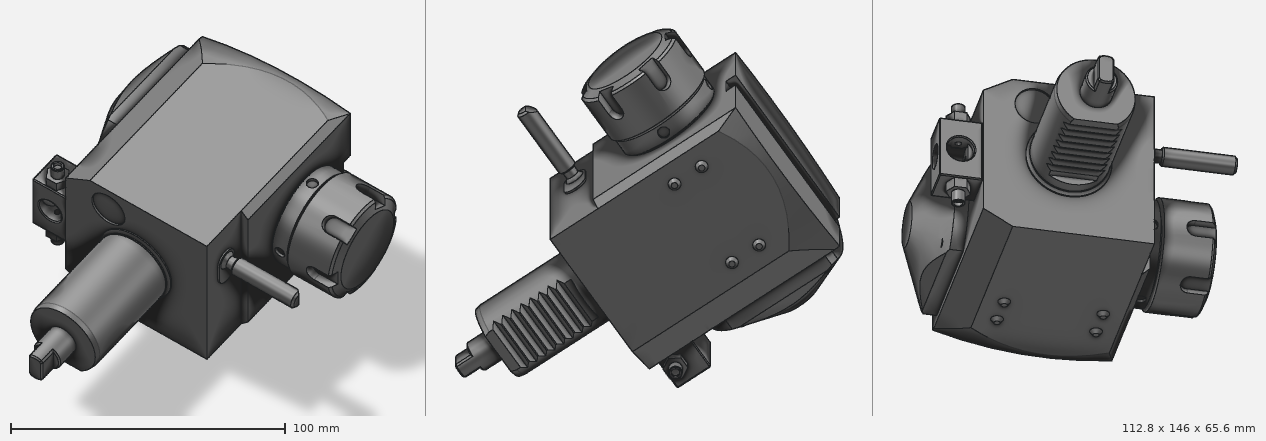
import cadquery as cq
import math


BODY_HALF = 32.0
BODY_LEFT = -31.8
BODY_LENGTH = 84.0
SIDE_CHAMFER_X = 11.0
SIDE_CHAMFER_Z = 6.3
PAD_THICKNESS = 3.0
PAD_START_Y = 21.0
BACK_CONE_RADIUS = 146.0
BACK_CONE_ANGLE = 15.0
BACK_CONE_X = 9.5
BACK_CONE_DROP = 0.9
KEYWAY_WIDTH = 10.2
KEYWAY_DEPTH = 4.2

CHUCK_Y = 55.0

COVER_RADIUS = BODY_HALF
COVER_TOP_RADIUS = 8.5
COVER_RIM = 5.1
COVER_HEIGHT = 16.0
COVER_HALF_Z = 23.2
COVER_BACK_Y = 79.5
COVER_BEVEL_START = 5.8
COVER_BEVEL_ANGLE = 30.0
COVER_SCREW_RADIUS = 2.6
COVER_SCREW_OFFSET_Y = 17.7
COVER_SCREW_OFFSET_Z = 17.5
COVER_SCREW_HEIGHT = 7.5

FLANGE_RADIUS = 16.0
FLANGE_THICKNESS = 0.6
FLANGE_CONE_END = 1.2
UNDERCUT_RADIUS = 14.7
UNDERCUT_END = 1.9
SHANK_RADIUS = 15.0
SHANK_LENGTH = 45.0
SHANK_BEVEL_LENGTH = 2.2
SHANK_BEVEL_DEPTH = 0.5
SHANK_FLAT_Z = -12.1
SHANK_FLAT_START_Y = -6.7
TOOTH_COUNT = 8
TOOTH_SPAN = 28.0
TOOTH_PITCH = TOOTH_SPAN / (TOOTH_COUNT - 1)
TOOTH_DEPTH = 1.8
FIRST_TOOTH_Y = -11.4
DRIVE_RADIUS = 6.0
DRIVE_END_Y = -62.0
TANG_START_Y = -55.0
TANG_HALF_WIDTH = 3.0
DRIVE_CHAMFER = 0.6
TANG_EDGE_CHAMFER = 0.7

PLUG_X = -12.5
PLUG_Z = 21.6
PLUG_RADIUS = 7.5
PLUG_DEPTH = 0.9

RING_NECK_RADIUS = 19.3
RING_START_X = 35.8
RING_END_X = 42.3
RING_RADIUS = 20.0
RING_HOLE_RADIUS = 2.2
RING_HOLE_X = 39.1
RING_HOLE_DEPTH = 1.3
RING_HOLE_COUNT = 4
NUT_NECK_RADIUS = 16.4
NUT_START_X = 43.5
NUT_RADIUS = 21.0
NUT_BEVEL_X = 61.6
NUT_NOSE_X = 62.5
NUT_NOSE_RADIUS = 20.0
NUT_END_X = 64.0
NUT_FACE_RADIUS = 16.2
NUT_SLOT_WIDTH = 6.7
NUT_SLOT_FLOOR = 17.4
NUT_SLOT_START_X = 51.8
NUT_SLOT_COUNT = 6

LEVER_Y = 11.2
LEVER_Z = 13.9
LEVER_FOOT_RADIUS = 4.0
LEVER_FOOT_X = 32.4
LEVER_NECK_RADIUS = 2.5
LEVER_NECK_X = 34.2
LEVER_START_X = 37.0
LEVER_START_CHAMFER = 0.6
LEVER_TIP_CHAMFER = 0.9
LEVER_RADIUS = 3.5
LEVER_END_X = 65.0
LEVER_TIP_CUT = 3.0
LEVER_PLATE_WIDTH = 9.3
LEVER_PLATE_SPACING = 6.7
LEVER_PLATE_THICKNESS = 0.7

BLOCK_LENGTH = 16.0
BLOCK_WIDTH = 14.9
BLOCK_FRONT_Y = 1.3
BLOCK_HALF_Z = 12.4
BLOCK_EDGE = 0.5
BLOCK_PORT_X = -39.9
FRONT_PORT_RADIUS = 5.1
FRONT_PORT_SHELF = 2.5
PORT_MOUTH_CHAMFER = 0.5
SIDE_PORT_Y = 8.6
SIDE_PORT_RADIUS = 4.7
SIDE_PORT_DEPTH = 11.2
PORT_PASSAGE_RADIUS = 1.3
VALVE_Y = 6.0
VALVE_HEX_FLATS = 7.9
VALVE_HEX_HEIGHT = 4.0
VALVE_STEM_RADIUS = 2.5
VALVE_STEM_HEIGHT = 4.7
VALVE_TIP_CHAMFER = 0.3
VALVE_BORE_RADIUS = 1.6
VALVE_BORE_DEPTH = 1.5
VALVE_PASSAGE_RADIUS = 1.2

STUD_XS = (-12.8, 24.1)
STUD_YS = (49.5, 61.5)
STUD_BASE_RADIUS = 2.3
STUD_TOP_RADIUS = 1.2
STUD_HEIGHT = 1.6

OVERLAP = 0.7


def turned_x(profile, y, z):
    """Solid of revolution about a line along X, from (x, radius) points."""
    points = [(profile[0][0], 0)] + profile + [(profile[-1][0], 0)]
    turned = cq.Workplane("XY").polyline(points).close().revolve(360, (0, 0, 0), (1, 0, 0))
    return turned.translate((0, y, z))


def turned_y(profile, x=0.0, z=0.0):
    """Solid of revolution about a line along Y, from (y, radius) points."""
    points = [(0, profile[0][0])] + [(r, y) for y, r in profile] + [(0, profile[-1][0])]
    turned = cq.Workplane("XY").polyline(points).close().revolve(360, (0, 0, 0), (0, 1, 0))
    return turned.translate((x, 0, z))


def box(x0, x1, y0, y1, z0, z1):
    """Box between two opposite corners."""
    return cq.Workplane("XY").box(x1 - x0, y1 - y0, z1 - z0, centered=False).translate((x0, y0, z0))


def along_y(points, y0, y1):
    """Prism of an (x, z) outline between two Y positions."""
    return cq.Workplane("XZ", origin=(0, y0, 0)).polyline(points).close().extrude(y0 - y1)


def mirrored_z(solid):
    return solid.mirror("XY")


def back_cone():
    """Large cone whose top bounds the sloped rear of the body."""
    growth = BODY_LENGTH * math.tan(math.radians(BACK_CONE_ANGLE))
    axis_z = BODY_HALF - BACK_CONE_DROP - BACK_CONE_RADIUS
    profile = [(0, BACK_CONE_RADIUS + growth), (BODY_LENGTH, BACK_CONE_RADIUS)]
    return turned_y(profile, BACK_CONE_X, axis_z)


def make_body():
    side_z = BODY_HALF - SIDE_CHAMFER_Z
    slope_x = SIDE_CHAMFER_X + BODY_LEFT
    outline = [
        (BODY_LEFT, -side_z),
        (slope_x, -BODY_HALF),
        (BODY_HALF, -BODY_HALF),
        (BODY_HALF, BODY_HALF),
        (slope_x, BODY_HALF),
        (BODY_LEFT, side_z),
    ]
    pad_x = BODY_HALF + PAD_THICKNESS
    pad_z = BODY_HALF - PAD_THICKNESS
    pad_outline = [
        (0, -BODY_HALF),
        (BODY_HALF, -BODY_HALF),
        (pad_x, -pad_z),
        (pad_x, pad_z),
        (BODY_HALF, BODY_HALF),
        (0, BODY_HALF),
    ]
    body = along_y(outline, 0, BODY_LENGTH).union(along_y(pad_outline, PAD_START_Y, BODY_LENGTH))
    body = body.intersect(back_cone()).intersect(mirrored_z(back_cone()))
    keyway_floor = BODY_LENGTH - KEYWAY_DEPTH
    half_key = KEYWAY_WIDTH / 2
    body = body.cut(box(BODY_LEFT, pad_x, keyway_floor, BODY_LENGTH, -half_key, half_key))
    return body.cut(turned_y([(0, PLUG_RADIUS), (PLUG_DEPTH, PLUG_RADIUS)], PLUG_X, PLUG_Z))


def make_studs():
    stud = cq.Workplane("XY", origin=(0, 0, -BODY_HALF)).circle(STUD_BASE_RADIUS)
    stud = stud.workplane(offset=-STUD_HEIGHT).circle(STUD_TOP_RADIUS).loft()
    studs = cq.Workplane("XY")
    for x in STUD_XS:
        for y in STUD_YS:
            studs = studs.union(stud.translate((x, y, 0)))
    return studs


def make_cover():
    base_x = BODY_LEFT
    top_x = base_x - COVER_HEIGHT
    rim_x = base_x - COVER_RIM
    profile = [
        (top_x, COVER_TOP_RADIUS),
        (rim_x, COVER_RADIUS),
        (base_x + OVERLAP, COVER_RADIUS),
    ]
    cover = turned_x(profile, CHUCK_Y, 0)

    bevel_x = base_x - COVER_BEVEL_START
    bevel_length = bevel_x - top_x
    bevel_drop = bevel_length * math.tan(math.radians(COVER_BEVEL_ANGLE))
    top_half_z = COVER_HALF_Z - bevel_drop
    limits = [
        (base_x + OVERLAP, -COVER_HALF_Z),
        (bevel_x, -COVER_HALF_Z),
        (top_x, -top_half_z),
        (top_x, top_half_z),
        (bevel_x, COVER_HALF_Z),
        (base_x + OVERLAP, COVER_HALF_Z),
    ]
    cover = cover.intersect(along_y(limits, CHUCK_Y - COVER_RADIUS, COVER_BACK_Y))

    screw_profile = [(base_x - COVER_SCREW_HEIGHT, COVER_SCREW_RADIUS), (base_x, COVER_SCREW_RADIUS)]
    for side_y in (-1, 1):
        for side_z in (-1, 1):
            screw_y = CHUCK_Y + side_y * COVER_SCREW_OFFSET_Y
            cover = cover.union(turned_x(screw_profile, screw_y, side_z * COVER_SCREW_OFFSET_Z))
    return cover


def make_shank():
    profile = [
        (OVERLAP, FLANGE_RADIUS),
        (-FLANGE_THICKNESS, FLANGE_RADIUS),
        (-FLANGE_CONE_END, UNDERCUT_RADIUS),
        (-UNDERCUT_END, UNDERCUT_RADIUS),
        (-UNDERCUT_END, SHANK_RADIUS),
        (SHANK_BEVEL_LENGTH - SHANK_LENGTH, SHANK_RADIUS),
        (-SHANK_LENGTH, SHANK_RADIUS - SHANK_BEVEL_DEPTH),
    ]
    shank = turned_y(profile)
    below = -2 * SHANK_RADIUS
    shank = shank.cut(
        box(-SHANK_RADIUS, SHANK_RADIUS, -SHANK_LENGTH, SHANK_FLAT_START_Y, below, SHANK_FLAT_Z)
    )
    groove = (
        cq.Workplane("YZ")
        .polyline([(-TOOTH_DEPTH, 0), (0, TOOTH_DEPTH), (TOOTH_DEPTH, 0)])
        .close()
        .extrude(SHANK_RADIUS, both=True)
    )
    for i in range(TOOTH_COUNT):
        shank = shank.cut(groove.translate((0, FIRST_TOOTH_Y - i * TOOTH_PITCH, SHANK_FLAT_Z)))
    return shank


def make_drive():
    shaft = turned_y([
        (OVERLAP - SHANK_LENGTH, DRIVE_RADIUS),
        (TANG_START_Y + DRIVE_CHAMFER, DRIVE_RADIUS),
        (TANG_START_Y, DRIVE_RADIUS - DRIVE_CHAMFER),
    ])
    tang_root_y = TANG_START_Y + DRIVE_CHAMFER + OVERLAP
    tang = turned_y([(tang_root_y, DRIVE_RADIUS), (DRIVE_END_Y, DRIVE_RADIUS)])
    tang = tang.intersect(
        box(-TANG_HALF_WIDTH, TANG_HALF_WIDTH, DRIVE_END_Y, tang_root_y, -DRIVE_RADIUS, DRIVE_RADIUS)
    )
    tang = tang.faces("<X or >X").edges("|Y").chamfer(TANG_EDGE_CHAMFER)
    tang = tang.faces("<Y").edges().chamfer(DRIVE_CHAMFER)
    return shaft.union(tang)


def make_chuck():
    profile = [
        (BODY_HALF, RING_NECK_RADIUS),
        (RING_START_X, RING_NECK_RADIUS),
        (RING_START_X, RING_RADIUS),
        (RING_END_X, RING_RADIUS),
        (RING_END_X, NUT_NECK_RADIUS),
        (NUT_START_X, NUT_NECK_RADIUS),
        (NUT_START_X, NUT_RADIUS),
        (NUT_BEVEL_X, NUT_RADIUS),
        (NUT_NOSE_X, NUT_NOSE_RADIUS),
        (NUT_END_X, NUT_FACE_RADIUS),
    ]
    chuck = turned_x(profile, 0, 0)

    half_slot = NUT_SLOT_WIDTH / 2
    slot = box(NUT_SLOT_START_X + half_slot, NUT_END_X, -half_slot, half_slot, NUT_SLOT_FLOOR, NUT_RADIUS)
    slot_end = cq.Workplane("XY", origin=(NUT_SLOT_START_X + half_slot, 0, NUT_SLOT_FLOOR))
    slot = slot.union(slot_end.circle(half_slot).extrude(NUT_RADIUS - NUT_SLOT_FLOOR))
    for i in range(NUT_SLOT_COUNT):
        angle = 90 + i * 360 / NUT_SLOT_COUNT
        chuck = chuck.cut(slot.rotate((0, 0, 0), (1, 0, 0), angle))

    hole = cq.Workplane("XY", origin=(RING_HOLE_X, 0, RING_RADIUS - RING_HOLE_DEPTH))
    hole = hole.circle(RING_HOLE_RADIUS).extrude(2 * RING_HOLE_DEPTH)
    for i in range(RING_HOLE_COUNT):
        chuck = chuck.cut(hole.rotate((0, 0, 0), (1, 0, 0), i * 360 / RING_HOLE_COUNT))
    return chuck.translate((0, CHUCK_Y, 0))


def make_lever():
    profile = [
        (BODY_HALF - OVERLAP, LEVER_FOOT_RADIUS),
        (LEVER_FOOT_X, LEVER_FOOT_RADIUS),
        (LEVER_NECK_X, LEVER_NECK_RADIUS),
        (LEVER_START_X, LEVER_NECK_RADIUS),
        (LEVER_START_X, LEVER_RADIUS - LEVER_START_CHAMFER),
        (LEVER_START_X + LEVER_START_CHAMFER, LEVER_RADIUS),
        (LEVER_END_X - LEVER_TIP_CHAMFER, LEVER_RADIUS),
        (LEVER_END_X, LEVER_RADIUS - LEVER_TIP_CHAMFER),
    ]
    lever = turned_x(profile, LEVER_Y, LEVER_Z)
    back_y = LEVER_Y + LEVER_RADIUS
    corner = [
        (LEVER_END_X - LEVER_TIP_CUT, back_y),
        (LEVER_END_X, back_y),
        (LEVER_END_X, back_y - LEVER_TIP_CUT),
    ]
    tip_cut = cq.Workplane("XY", origin=(0, 0, LEVER_Z)).polyline(corner).close()
    lever = lever.cut(tip_cut.extrude(LEVER_RADIUS, both=True))

    plate = cq.Workplane("YZ", origin=(BODY_HALF - OVERLAP, LEVER_Y, LEVER_Z - LEVER_PLATE_SPACING / 2))
    plate = plate.slot2D(LEVER_PLATE_SPACING + LEVER_PLATE_WIDTH, LEVER_PLATE_WIDTH, 90)
    return lever.union(plate.extrude(OVERLAP + LEVER_PLATE_THICKNESS))


def make_valve():
    hexagon = cq.Workplane("XY", origin=(BLOCK_PORT_X, VALVE_Y, BLOCK_HALF_Z))
    corner_diameter = VALVE_HEX_FLATS / math.cos(math.radians(30))
    valve = hexagon.polygon(6, corner_diameter).extrude(VALVE_HEX_HEIGHT)
    valve = valve.faces(">Z").workplane().circle(VALVE_STEM_RADIUS).extrude(VALVE_STEM_HEIGHT)
    valve = valve.faces(">Z").edges().chamfer(VALVE_TIP_CHAMFER)
    return valve.faces(">Z").workplane().circle(VALVE_BORE_RADIUS).cutBlind(-VALVE_BORE_DEPTH)


def make_block():
    outer_x = BODY_LEFT - BLOCK_LENGTH
    back_y = BLOCK_FRONT_Y + BLOCK_WIDTH
    block = box(outer_x, BODY_LEFT, BLOCK_FRONT_Y, back_y, -BLOCK_HALF_Z, BLOCK_HALF_Z)
    block = block.faces("<X or <Y or >Y").edges().chamfer(BLOCK_EDGE)

    floor_x = outer_x + SIDE_PORT_DEPTH
    shelf_y = BLOCK_FRONT_Y + FRONT_PORT_SHELF
    front_port = turned_y([
        (BLOCK_FRONT_Y, FRONT_PORT_RADIUS + PORT_MOUTH_CHAMFER),
        (BLOCK_FRONT_Y + PORT_MOUTH_CHAMFER, FRONT_PORT_RADIUS),
        (SIDE_PORT_Y, FRONT_PORT_RADIUS),
    ], BLOCK_PORT_X, 0)
    shelf = box(floor_x, BODY_LEFT, shelf_y, SIDE_PORT_Y, -BLOCK_HALF_Z, BLOCK_HALF_Z)
    block = block.cut(front_port.cut(shelf))

    side_port = [
        (outer_x, SIDE_PORT_RADIUS),
        (floor_x, SIDE_PORT_RADIUS),
        (floor_x, PORT_PASSAGE_RADIUS),
        (BODY_LEFT, PORT_PASSAGE_RADIUS),
    ]
    block = block.cut(turned_x(side_port, SIDE_PORT_Y, 0))
    passage = cq.Workplane("XY", origin=(BLOCK_PORT_X, VALVE_Y, 0)).circle(VALVE_PASSAGE_RADIUS)
    block = block.cut(passage.extrude(BLOCK_HALF_Z, both=True))
    valve = make_valve()
    return block.union(valve).union(mirrored_z(valve))


result = make_body()
for piece in (
    make_studs(),
    make_cover(),
    make_shank(),
    make_drive(),
    make_chuck(),
    make_lever(),
    make_block(),
):
    result = result.union(piece)